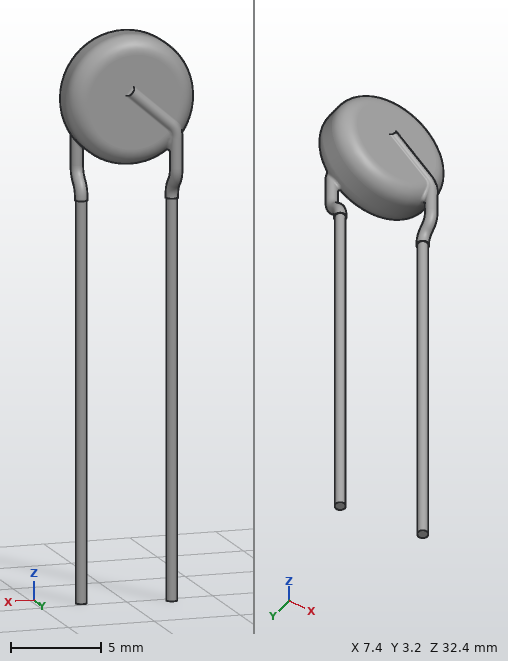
import cadquery as cq
import math

disc_diameter = 7.4
disc_thickness = 2.88
rim_round = 1.0

coated_diameter = 0.7
bare_diameter = 0.6
overall_height = 32.4
overall_depth = 3.2
lead_pitch = 5.0
bare_spacing = 0.87
bend_radius = 1.0
crimp_radius = 1.1

slant_bend_start = -2.2
crimp_start = -3.95
coating_end = -5.8
slant_angle = 49.0
slant_length = 3.08
meniscus_radius = 0.155

tolerance = 0.0003

lead_x = lead_pitch / 2
coated_y = -(overall_depth - coated_diameter) / 2
bare_y = -bare_spacing / 2
bare_end = disc_diameter / 2 - overall_height


def make_disc():
    """Flat disc with both rims rounded."""
    back_face = cq.Workplane("XZ", origin=(0, disc_thickness / 2, 0))
    disc = back_face.circle(disc_diameter / 2).extrude(disc_thickness)
    return disc.edges().fillet(rim_round)


def lead_path():
    """Centre line of the coated lead, from the disc face down to the end of the coating."""
    tilt = math.radians(slant_angle)
    half_tilt = tilt / 2
    along_slant = cq.Vector(-math.sin(tilt), 0, math.cos(tilt))

    vertical_top = cq.Vector(lead_x, coated_y, slant_bend_start)
    bend_centre = vertical_top - cq.Vector(bend_radius, 0, 0)
    bend_middle = bend_centre + cq.Vector(math.cos(half_tilt), 0, math.sin(half_tilt)) * bend_radius
    slant_start = bend_centre + cq.Vector(math.cos(tilt), 0, math.sin(tilt)) * bend_radius
    slant_end = slant_start + along_slant * slant_length

    step = bare_y - coated_y
    crimp_angle = math.acos(1 - step / (2 * crimp_radius))
    crimp_height = 2 * crimp_radius * math.sin(crimp_angle)
    vertical_bottom = cq.Vector(lead_x, coated_y, crimp_start)
    crimp_middle = vertical_bottom + cq.Vector(0, step / 2, -crimp_height / 2)
    crimp_end = vertical_bottom + cq.Vector(0, step, -crimp_height)
    down = cq.Vector(0, 0, -1)
    crimp_slope = cq.Vector(0, math.sin(crimp_angle), -math.cos(crimp_angle))

    return cq.Wire.assembleEdges([
        cq.Edge.makeLine(slant_end, slant_start),
        cq.Edge.makeThreePointArc(slant_start, bend_middle, vertical_top),
        cq.Edge.makeLine(vertical_top, vertical_bottom),
        cq.Edge.makeTangentArc(vertical_bottom, down, crimp_middle),
        cq.Edge.makeTangentArc(crimp_middle, crimp_slope, crimp_end),
        cq.Edge.makeLine(crimp_end, cq.Vector(lead_x, bare_y, coating_end)),
    ])


def make_coated_lead():
    """Round coating swept along the lead's centre line."""
    path = lead_path()
    start_plane = cq.Plane(origin=path.startPoint(), xDir=(0, 1, 0), normal=path.tangentAt(0))
    profile = cq.Workplane(start_plane).circle(coated_diameter / 2)
    return profile.sweep(cq.Workplane(path))


def make_bare_wire():
    """Straight bare wire below the coating."""
    wire = cq.Workplane("XY", origin=(lead_x, bare_y, coating_end))
    return wire.circle(bare_diameter / 2).extrude(bare_end - coating_end)


def half_turn(shape):
    """The same shape turned to the other lead position."""
    return shape.rotate((0, 0, 0), (0, 0, 1), 180)


def joint_edges(shape):
    """Edges where the leads run into the disc."""
    flat_rim_radius = disc_diameter / 2 - rim_round
    on_rounding = shape.edges("%BSPLINE").vals()
    on_flats = []
    for edge in shape.faces("|Y").edges().vals():
        flat_rim = edge.geomType() == "CIRCLE" and abs(edge.radius() - flat_rim_radius) < tolerance
        box = edge.BoundingBox()
        lies_flat = box.ylen < tolerance and abs(abs(box.center.y) - disc_thickness / 2) < tolerance
        if lies_flat and not flat_rim:
            on_flats.append(edge)
    return on_rounding + on_flats


coated_lead = make_coated_lead()
body = make_disc().union(coated_lead).union(half_turn(coated_lead))
body = body.newObject(joint_edges(body)).fillet(meniscus_radius)
bare_wire = make_bare_wire()
result = body.union(bare_wire).union(half_turn(bare_wire))